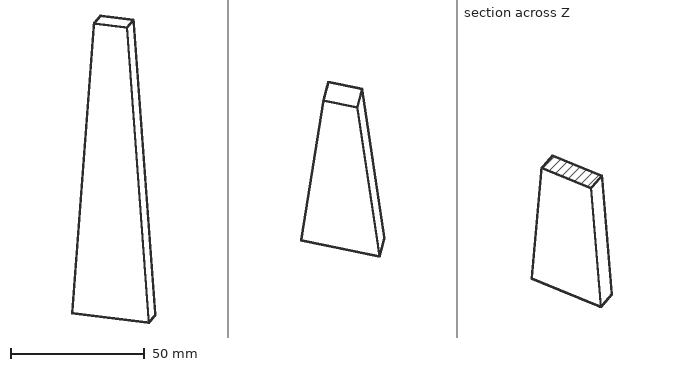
import cadquery as cq

height = 118.1
base_width = 30.1
tip_width = 13.0
thickness = 8.0

result = (
    cq.Workplane("XZ")
    .polyline([
        (-base_width / 2, 0),
        (base_width / 2, 0),
        (tip_width / 2, height),
        (-tip_width / 2, height),
    ])
    .close()
    .extrude(thickness / 2, both=True)
)